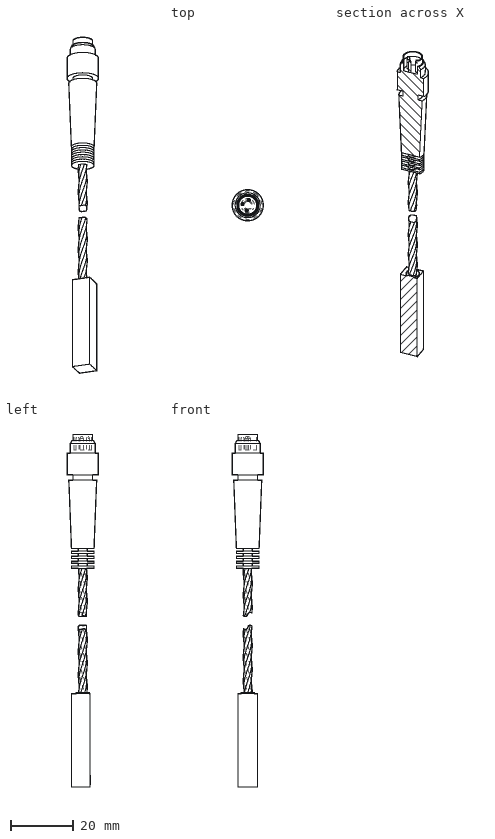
import cadquery as cq
import math

TOTAL_HEIGHT = 113.4
HOUSING_HEIGHT = 30.1
LOWER_CABLE_END = 51.4
UPPER_CABLE_END = 55.5
GRIP_BOTTOM = 76.7
GRIP_TOP = 98.7
NUT_BOTTOM = 100.4
NUT_TOP = 107.4
SHOULDER_TOP = 110.5
NOSE_BOTTOM = 111.5

NOSE_DIAMETER = 6.4
BEVEL_DIAMETER = 7.0
SHOULDER_DIAMETER = 8.0
NUT_DIAMETER = 10.1
GRIP_TOP_DIAMETER = 9.1
GRIP_BOTTOM_DIAMETER = 7.4
SOCKET_DIAMETER = 5.8
SOCKET_DEPTH = 5.0

DISC_COUNT = 4
DISC_DIAMETER = 7.3
DISC_THICKNESS = 0.8
DISC_PITCH = 2 * DISC_THICKNESS
DISCS_BOTTOM = GRIP_BOTTOM - DISC_COUNT * DISC_PITCH
RELIEF_CORE_DIAMETER = 3.0

PIN_COUNT = 3
PIN_DIAMETER = 1.0
PIN_TIP_DIAMETER = 0.5
PIN_TIP_LENGTH = 0.7
PIN_CIRCLE_RADIUS = 1.7
PIN_FIRST_ANGLE = 78.7
PIN_STEP_ANGLE = 90.0
PIN_TOP = TOTAL_HEIGHT - 0.7

CORE_DIAMETER = 2.5
WIRE_COUNT = 3
WIRE_DIAMETER = 1.4
WIRE_CIRCLE_RADIUS = 0.8
TWIST_PITCH = 22.7
LOWER_LOBE_HEIGHT = 45.5
UPPER_LOBE_HEIGHT = 65.5
BREAK_HALF_STEP = 0.7
BREAK_HALF_WIDTH = 1.6

HOUSING_WIDTH = 6.4
HOUSING_FRONT = -2.4
HOUSING_BACK = 3.6
COLLAR_DIAMETER = 4.3
COLLAR_HEIGHT = 0.3
BUTTON_DIAMETER = 3.4
BUTTON_FACE_DIAMETER = 1.9
BUTTON_HEIGHT = 0.1
BUTTON_Z = 2.3


def cylinder(diameter, bottom, top):
    return cq.Workplane("XY").workplane(offset=bottom).circle(diameter / 2).extrude(top - bottom)


def make_housing():
    """Square sensor block with a cable collar on top and a low conical button in front."""
    block = cq.Workplane("XY").box(
        HOUSING_WIDTH, HOUSING_BACK - HOUSING_FRONT, HOUSING_HEIGHT, centered=(True, False, False)
    ).translate((0, HOUSING_FRONT, 0))
    collar = cylinder(COLLAR_DIAMETER, HOUSING_HEIGHT, HOUSING_HEIGHT + COLLAR_HEIGHT)
    button = cq.Workplane(cq.Solid.makeCone(
        BUTTON_DIAMETER / 2, BUTTON_FACE_DIAMETER / 2, BUTTON_HEIGHT,
        pnt=cq.Vector(0, HOUSING_FRONT, BUTTON_Z), dir=cq.Vector(0, -1, 0),
    ))
    return block.union(collar).union(button)


def make_twisted_cable(bottom, top, lobe_height):
    """Right-hand twisted cable with square ends."""
    length = top - bottom
    start_angle = 360 * (bottom - lobe_height) / TWIST_PITCH
    section = cq.Sketch().circle(CORE_DIAMETER / 2)
    for i in range(WIRE_COUNT):
        angle = math.radians(start_angle + i * 360 / WIRE_COUNT)
        place = cq.Location(cq.Vector(
            WIRE_CIRCLE_RADIUS * math.cos(angle), WIRE_CIRCLE_RADIUS * math.sin(angle), 0))
        section = section.face(cq.Sketch().circle(WIRE_DIAMETER / 2).moved(place))
    section = section.clean()
    twist = 360 * length / TWIST_PITCH
    return cq.Workplane("XY").workplane(offset=bottom).placeSketch(section).twistExtrude(length, twist)


def make_break_block(height, far_height):
    """Block from far_height to an S-shaped break face around the given height."""
    low = height - BREAK_HALF_STEP
    high = height + BREAK_HALF_STEP
    middle = BREAK_HALF_WIDTH / 2
    return (
        cq.Workplane("XZ")
        .moveTo(-BREAK_HALF_WIDTH, height)
        .threePointArc((-middle, low), (0, height))
        .threePointArc((middle, high), (BREAK_HALF_WIDTH, height))
        .lineTo(BREAK_HALF_WIDTH, far_height)
        .lineTo(-BREAK_HALF_WIDTH, far_height)
        .close()
        .extrude(BREAK_HALF_WIDTH, both=True)
    )


def make_lower_cable():
    bottom = HOUSING_HEIGHT + COLLAR_HEIGHT
    cable = make_twisted_cable(bottom, LOWER_CABLE_END + 2 * BREAK_HALF_STEP, LOWER_LOBE_HEIGHT)
    return cable.intersect(make_break_block(LOWER_CABLE_END, bottom))


def make_upper_cable():
    cable = make_twisted_cable(UPPER_CABLE_END - 2 * BREAK_HALF_STEP, DISCS_BOTTOM, UPPER_LOBE_HEIGHT)
    return cable.intersect(make_break_block(UPPER_CABLE_END, DISCS_BOTTOM))


def make_strain_relief():
    """Evenly spaced discs and the core that hangs them from the grip."""
    relief = cylinder(RELIEF_CORE_DIAMETER, DISCS_BOTTOM, GRIP_BOTTOM)
    for i in range(DISC_COUNT):
        bottom = DISCS_BOTTOM + i * DISC_PITCH
        relief = relief.union(cylinder(DISC_DIAMETER, bottom, bottom + DISC_THICKNESS))
    return relief


def make_connector():
    """Turned plug with nut, tapered grip, open socket and strain relief."""
    outline = [
        (0, GRIP_BOTTOM),
        (GRIP_BOTTOM_DIAMETER / 2, GRIP_BOTTOM),
        (GRIP_TOP_DIAMETER / 2, GRIP_TOP),
        (NOSE_DIAMETER / 2, GRIP_TOP),
        (NOSE_DIAMETER / 2, NUT_BOTTOM),
        (NUT_DIAMETER / 2, NUT_BOTTOM),
        (NUT_DIAMETER / 2, NUT_TOP),
        (SHOULDER_DIAMETER / 2, NUT_TOP),
        (SHOULDER_DIAMETER / 2, SHOULDER_TOP),
        (BEVEL_DIAMETER / 2, NOSE_BOTTOM),
        (NOSE_DIAMETER / 2, NOSE_BOTTOM),
        (NOSE_DIAMETER / 2, TOTAL_HEIGHT),
        (0, TOTAL_HEIGHT),
    ]
    plug = cq.Workplane("XZ").polyline(outline).close().revolve(360, (0, 0, 0), (0, 1, 0))
    socket = cylinder(SOCKET_DIAMETER, TOTAL_HEIGHT - SOCKET_DEPTH, TOTAL_HEIGHT)
    return plug.cut(socket).union(make_strain_relief())


def make_pin(index):
    """Contact pin with a conical tip, standing on the socket floor."""
    angle = math.radians(PIN_FIRST_ANGLE + index * PIN_STEP_ANGLE)
    shank_top = PIN_TOP - PIN_TIP_LENGTH
    shank = cylinder(PIN_DIAMETER, TOTAL_HEIGHT - SOCKET_DEPTH, shank_top)
    tip = cq.Workplane(cq.Solid.makeCone(
        PIN_DIAMETER / 2, PIN_TIP_DIAMETER / 2, PIN_TIP_LENGTH, pnt=cq.Vector(0, 0, shank_top)))
    place = (PIN_CIRCLE_RADIUS * math.cos(angle), PIN_CIRCLE_RADIUS * math.sin(angle), 0)
    return shank.union(tip).translate(place)


housing = make_housing()
lower_cable = make_lower_cable()
upper_cable = make_upper_cable()
connector = make_connector()
pins = [make_pin(i).val() for i in range(PIN_COUNT)]

result = cq.Compound.makeCompound(
    [housing.val(), lower_cable.val(), upper_cable.val(), connector.val(), *pins]
)